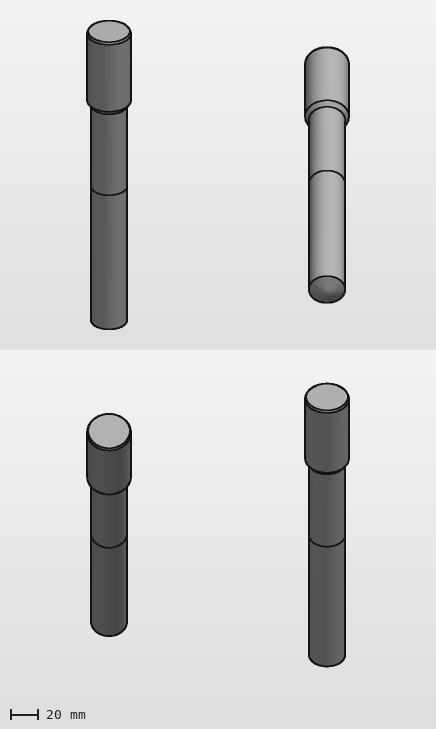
import cadquery as cq
import math

overall_length = 249.0

shank_diameter = 31.75
shank_length = 58.0
shank_end_chamfer_height = 1.7
shank_end_chamfer_width = 0.9
shoulder_height = 3.9

drill_diameter = 26.2
cutting_length = 119.0
point_angle = 130.0

shank_radius = shank_diameter / 2
drill_radius = drill_diameter / 2
point_height = drill_radius / math.tan(math.radians(point_angle / 2))
shoulder_top = overall_length - shank_length
shoulder_bottom = shoulder_top - shoulder_height


def revolve_profile(points):
    """Turn a closed (radius, height) outline into a solid around the Z axis."""
    return cq.Workplane("XZ").polyline(points).close().revolve(360, (0, 0), (0, 1))


def make_shank():
    """Chamfered shank, conical shoulder and neck, ending where the cutting section starts."""
    return revolve_profile([
        (0, cutting_length),
        (drill_radius, cutting_length),
        (drill_radius, shoulder_bottom),
        (shank_radius, shoulder_top),
        (shank_radius, overall_length - shank_end_chamfer_height),
        (shank_radius - shank_end_chamfer_width, overall_length),
        (0, overall_length),
    ])


def make_cutting_section():
    """Plain cylinder with a conical point, flush with the neck above it."""
    return revolve_profile([
        (0, 0),
        (drill_radius, point_height),
        (drill_radius, cutting_length),
        (0, cutting_length),
    ])


shank = make_shank()
cutting_section = make_cutting_section()

result = cq.Compound.makeCompound([shank.val(), cutting_section.val()])